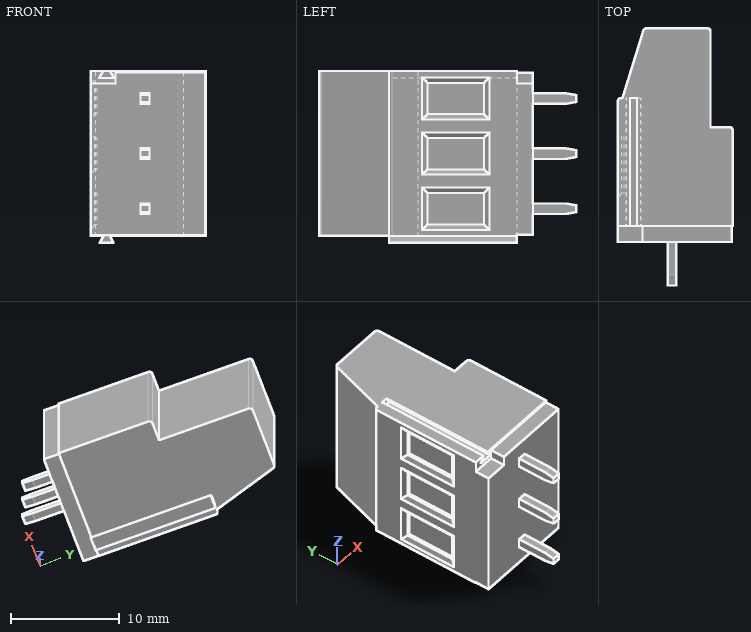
import cadquery as cq


width = 10.6
height = 15.17
top_y = 19.7
shoulder_y = 10.6
upper_right_x = 8.55
ledge_y = 13.27
ledge_x = 0.43
slope_top_x = 2.42
corner_radius = 0.3

foot_depth = 1.5
foot_side_inset = 0.1
foot_bottom_inset = 0.07
foot_top_inset = 0.15
notch_width = 2.3
notch_height = 1.15

pole_count = 3
pitch = 5.07
pole_center_z = 7.55

window_length = 6.19
window_height = 3.89
window_center_y = 7.1
window_bevel = 0.5
bevel_depth = 0.35
floor_depth = 0.6

pin_center_x = 5.0
pin_width = 0.8
pin_height = 1.0
pin_length = 4.0
pin_tip_length = 1.0
pin_tip_height = 0.65

dovetail_center_x = 1.47
dovetail_height = 0.66
groove_neck = 0.65
groove_base = 1.37
rail_neck = 0.6
rail_base = 1.3

pole_heights = [pole_center_z + (i - (pole_count - 1) / 2) * pitch for i in range(pole_count)]


def block(x_range, y_range, z_range):
    """Axis-aligned box spanning the given ranges."""
    size = [b - a for a, b in (x_range, y_range, z_range)]
    return cq.Workplane("XY").box(*size, centered=False).translate((x_range[0], y_range[0], z_range[0]))


def housing():
    """Upper housing with its stepped and sloped outline."""
    outline = [
        (0, foot_depth),
        (width, foot_depth),
        (width, shoulder_y),
        (upper_right_x, shoulder_y),
        (upper_right_x, top_y),
        (slope_top_x, top_y),
        (ledge_x, ledge_y),
        (0, ledge_y),
    ]
    rounded_corners = [
        (width, shoulder_y),
        (upper_right_x, top_y),
        (slope_top_x, top_y),
        (0, ledge_y),
    ]
    body = cq.Workplane("XY").polyline(outline).close().extrude(height)
    for x, y in rounded_corners:
        edge = cq.selectors.NearestToPointSelector((x, y, height / 2))
        body = body.edges("|Z").edges(edge).fillet(corner_radius)
    return body


def foot():
    """Slightly smaller foot with a corner notch below the groove."""
    foot_top = height - foot_top_inset
    base = block((0, width - foot_side_inset), (0, foot_depth), (foot_bottom_inset, foot_top))
    notch = block((0, notch_width), (0, foot_depth), (height - notch_height, height))
    return base.cut(notch)


def dovetail(top_z, neck, base):
    """Dovetail bar along Y, with its narrow neck at top_z and its wide base below."""
    outline = [
        (dovetail_center_x - neck / 2, top_z),
        (dovetail_center_x + neck / 2, top_z),
        (dovetail_center_x + base / 2, top_z - dovetail_height),
        (dovetail_center_x - base / 2, top_z - dovetail_height),
    ]
    bar = cq.Workplane("XZ").polyline(outline).close().extrude(foot_depth - ledge_y)
    return bar.translate((0, foot_depth, 0))


def window(z):
    """Cutter for one window: bevelled frame followed by a straight-sided recess."""
    inner_length = window_length - 2 * window_bevel
    inner_height = window_height - 2 * window_bevel
    frame = (
        cq.Workplane("YZ", origin=(0, window_center_y, z))
        .rect(window_length, window_height)
        .workplane(offset=bevel_depth)
        .rect(inner_length, inner_height)
        .loft(ruled=True)
    )
    recess = cq.Workplane("YZ", origin=(0, window_center_y, z)).rect(inner_length, inner_height)
    return frame.union(recess.extrude(floor_depth))


def pin(z):
    """Solder pin, tapered in height at its tip and rooted inside the foot."""
    taper_y = pin_tip_length - pin_length
    outline = [
        (foot_depth, z - pin_height / 2),
        (taper_y, z - pin_height / 2),
        (-pin_length, z - pin_tip_height / 2),
        (-pin_length, z + pin_tip_height / 2),
        (taper_y, z + pin_height / 2),
        (foot_depth, z + pin_height / 2),
    ]
    bar = cq.Workplane("YZ").polyline(outline).close().extrude(pin_width)
    return bar.translate((pin_center_x - pin_width / 2, 0, 0))


result = housing().union(foot())
result = result.union(dovetail(0, rail_neck, rail_base))
result = result.cut(dovetail(height, groove_neck, groove_base))
for pole_z in pole_heights:
    result = result.cut(window(pole_z))
    result = result.union(pin(pole_z))